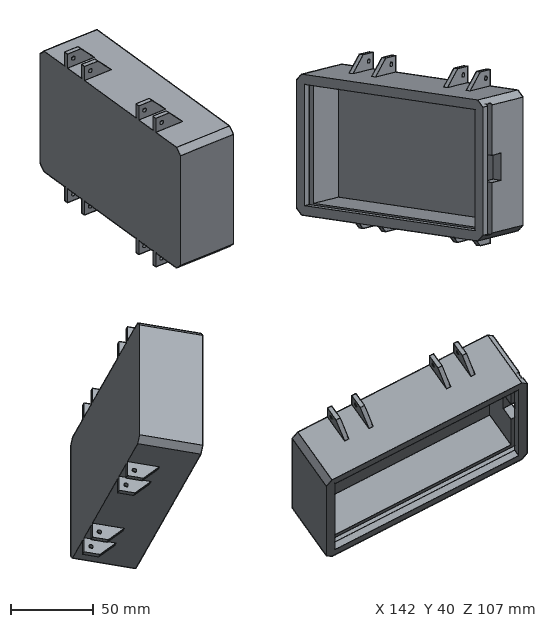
import cadquery as cq

LENGTH = 142.0
DEPTH = 40.0
OVERALL_HEIGHT = 107.0
TAB_HEIGHT = 10.1
BODY_HEIGHT = OVERALL_HEIGHT - 2 * TAB_HEIGHT
CORNER_CHAMFER = 4.0
WALL = 6.1

SLOT_LIP = 4.7
SLOT_WIDTH = 4.4
SLOT_HEIGHT = 81.0
GROOVE_DEPTH = (SLOT_HEIGHT - (BODY_HEIGHT - 2 * WALL)) / 2

WINDOW_WIDTH = 9.1
WINDOW_HEIGHT = 16.8

TAB_THICKNESS = 3.0
TAB_TIP_DEPTH = 10.1
TAB_BASE_DEPTH = TAB_TIP_DEPTH + TAB_HEIGHT
INNER_TAB_X = 27.4
OUTER_TAB_X = 44.6
HOLE_DIAMETER = 2.5
HOLE_FROM_FRONT = 4.4
HOLE_FROM_TIP = 4.7


def block(x_start, x_end, y_start, y_end, height):
    """Box between X and Y limits, centred on Z = 0."""
    return (
        cq.Workplane("XY")
        .box(x_end - x_start, y_end - y_start, height, centered=(False, False, True))
        .translate((x_start, y_start, 0))
    )


def make_body():
    """Chamfered box, hollow and open at the back."""
    outer = block(-LENGTH / 2, LENGTH / 2, 0, DEPTH, BODY_HEIGHT)
    outer = outer.edges("|Y").chamfer(CORNER_CHAMFER)
    inner_x = LENGTH / 2 - WALL
    cavity = block(-inner_x, inner_x, WALL, DEPTH, BODY_HEIGHT - 2 * WALL)
    return outer.cut(cavity)


def make_cover_openings():
    """Cover slot, grooved into the other three walls, joined to the window."""
    slot_back = DEPTH - SLOT_LIP
    slot_front = slot_back - SLOT_WIDTH
    outer_x = -LENGTH / 2
    groove_end = LENGTH / 2 - WALL + GROOVE_DEPTH
    slot = block(outer_x, groove_end, slot_front, slot_back, SLOT_HEIGHT)
    window = block(outer_x, outer_x + WALL, slot_front - WINDOW_WIDTH, slot_front, WINDOW_HEIGHT)
    return slot.union(window)


def make_tab(x_center):
    """Upper mounting tab with a sloped back edge and a cross hole."""
    base_z = BODY_HEIGHT / 2
    tip_z = OVERALL_HEIGHT / 2
    plate = (
        cq.Workplane("YZ")
        .polyline([(0, base_z), (TAB_BASE_DEPTH, base_z), (TAB_TIP_DEPTH, tip_z), (0, tip_z)])
        .close()
        .extrude(TAB_THICKNESS / 2, both=True)
    )
    hole = (
        cq.Workplane("YZ")
        .center(HOLE_FROM_FRONT, tip_z - HOLE_FROM_TIP)
        .circle(HOLE_DIAMETER / 2)
        .extrude(TAB_THICKNESS, both=True)
    )
    return plate.cut(hole).translate((x_center, 0, 0))


result = make_body().cut(make_cover_openings())
for tab_x in (-OUTER_TAB_X, -INNER_TAB_X, INNER_TAB_X, OUTER_TAB_X):
    upper_tab = make_tab(tab_x)
    result = result.union(upper_tab).union(upper_tab.mirror("XY"))